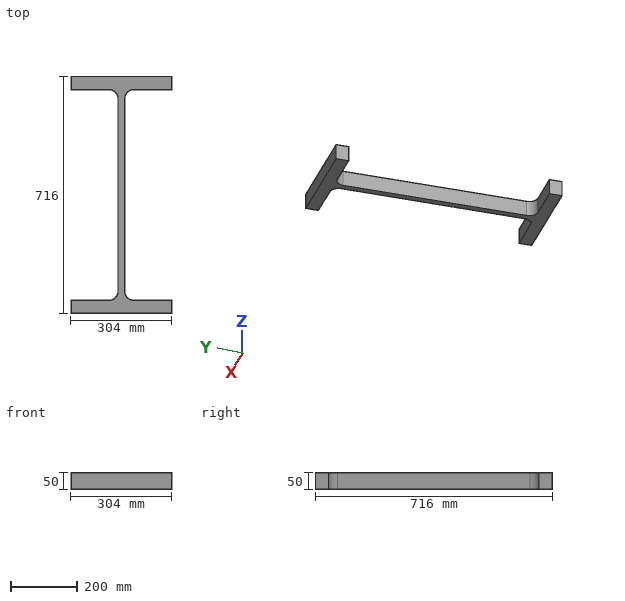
import cadquery as cq

beam_depth = 716.0
flange_width = 304.0
slice_length = 50.0
flange_thickness = 40.0
web_thickness = 21.0
root_radius = 27.0


def make_flange(side):
    """Flange at the +Y (side = 1) or -Y (side = -1) end of the web."""
    center_y = side * (beam_depth - flange_thickness) / 2
    return (
        cq.Workplane("XY")
        .center(0, center_y)
        .rect(flange_width, flange_thickness)
        .extrude(slice_length)
    )


beam = cq.Workplane("XY").rect(web_thickness, beam_depth).extrude(slice_length)
for side in (-1, 1):
    beam = beam.union(make_flange(side))

inner_depth = beam_depth - 2 * flange_thickness
root_edges = cq.selectors.BoxSelector(
    (-web_thickness, -inner_depth / 2 - root_radius / 2, 0),
    (web_thickness, inner_depth / 2 + root_radius / 2, slice_length),
)
result = beam.clean().edges("|Z").edges(root_edges).fillet(root_radius)